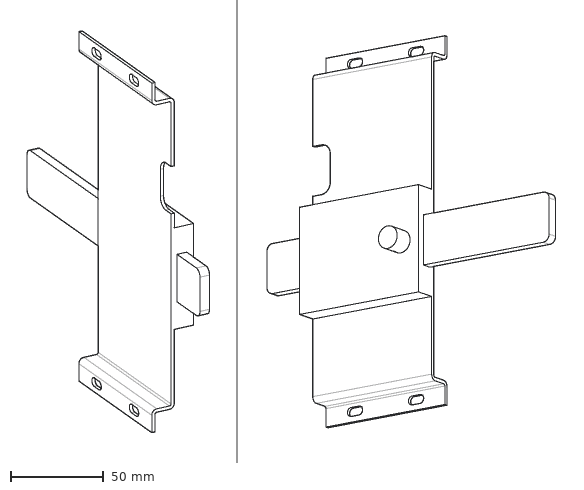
import cadquery as cq

plate_width = 80.0
plate_height = 206.0
sheet = 2.0
flange_height = 11.3
plate_back = 14.0
inner_bend = 1.0
outer_bend = inner_bend + sheet

slot_length = 10.0
slot_width = 5.0
slot_end_offset = 5.8
slot_positions = (19.4, 60.4)

notch_depth = 11.7
notch_height = 27.8
notch_z = 37.3
notch_radius = 6.0

lock_z = -15.2
body_depth = 12.0
body_height = 60.0
bar_length = 189.5
bar_left_overhang = 84.5
bar_height = 28.0
bar_thickness = 6.0
bar_gap = 1.6
bar_corner = 4.0
pin_diameter = 12.5
pin_edge_offset = 12.0
total_depth = 37.7

plate_left = -plate_width / 2
plate_right = plate_width / 2
plate_end = plate_height / 2
body_back = plate_back + body_depth


def bent_plate():
    web_outer = plate_end - flange_height
    web_inner = web_outer - sheet
    panel_front = plate_back - sheet
    profile = [
        (0, plate_end),
        (sheet, plate_end),
        (sheet, web_outer),
        (plate_back, web_outer),
        (plate_back, -web_outer),
        (sheet, -web_outer),
        (sheet, -plate_end),
        (0, -plate_end),
        (0, -web_inner),
        (panel_front, -web_inner),
        (panel_front, web_inner),
        (0, web_inner),
    ]
    plate = (
        cq.Workplane("YZ", origin=(plate_left, 0, 0))
        .polyline(profile).close().extrude(plate_width)
    )

    inner_corners = [(sheet, web_outer), (panel_front, web_inner)]
    outer_corners = [(plate_back, web_outer), (0, web_inner)]
    for corners, radius in ((inner_corners, inner_bend), (outer_corners, outer_bend)):
        for y, z in corners:
            for corner_z in (-z, z):
                corner = cq.NearestToPointSelector((0, y, corner_z))
                plate = plate.edges(corner).fillet(radius)
    return plate


def mounting_slots():
    slot_z = plate_end - slot_end_offset
    centres = [(plate_left + x, z) for x in slot_positions for z in (-slot_z, slot_z)]
    return (
        cq.Workplane("XZ").pushPoints(centres)
        .slot2D(slot_length, slot_width).extrude(-sheet)
    )


def edge_notch():
    return (
        cq.Workplane("XZ").center(plate_right, notch_z)
        .rect(2 * notch_depth, notch_height).extrude(-plate_back)
        .edges("|Y").fillet(notch_radius)
    )


def lock_body():
    return (
        cq.Workplane("XZ", origin=(0, plate_back, lock_z))
        .rect(plate_width, body_height).extrude(-body_depth)
    )


def sliding_bar():
    bar_x = plate_left - bar_left_overhang + bar_length / 2
    return (
        cq.Workplane("XZ", origin=(bar_x, plate_back + bar_gap, lock_z))
        .rect(bar_length, bar_height).extrude(-bar_thickness)
        .edges("|Y").fillet(bar_corner)
    )


def pin():
    return (
        cq.Workplane("XZ", origin=(plate_left + pin_edge_offset, body_back, lock_z))
        .circle(pin_diameter / 2).extrude(body_back - total_depth)
    )


plate = bent_plate().cut(mounting_slots()).cut(edge_notch())
result = plate.union(lock_body()).union(sliding_bar()).union(pin())